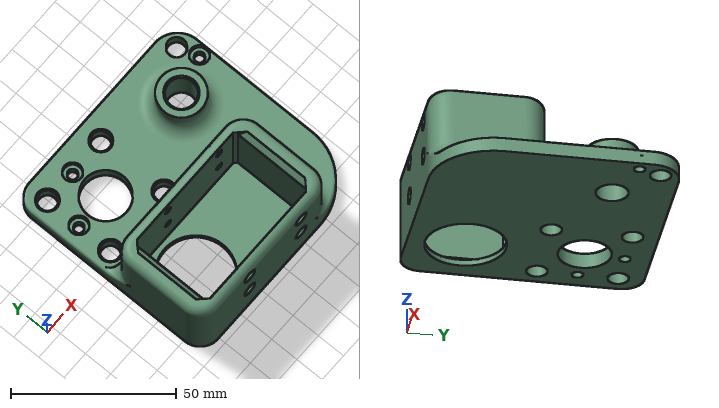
import cadquery as cq
plate_side = 75.0
plate_thickness = 5.0
small_corner_radius = 7.0
back_right_radius = 9.0
front_right_radius = 20.0
plate_edge_radius = 1.0

housing_length = 60.0
housing_width = 36.0
housing_height = 30.0
rim_fillet = 3.0
root_fillet = 5.0

side_wall = 3.5
rim_end_wall = 4.5
end_ledge = 2.0
cavity_corner_cut = 3.0
floor_thickness = 2.0
floor_hole_diameter = 25.0
floor_hole_center = (18.0, 18.0)

mount_center = (18.75, 54.5)
pilot_diameter = 16.4
mount_half_pitch = 12.5
mount_diameter = 6.5
mount_chamfer = 0.5
mount_clearance_diameter = 11.0

screw_diameter = 3.5
screw_head_diameter = 6.3
screw_head_depth = 2.0
back_screw_offset = 0.75
screw_spots = [
    (mount_center[0] - mount_half_pitch, mount_center[1]),
    (mount_center[0] - back_screw_offset, mount_center[1] + mount_half_pitch),
    (71.5, 62.0),
]

corner_hole_diameter = 6.5
corner_hole_inset = 6.1

boss_center = (56.25, 56.25)
boss_diameter = 16.0
boss_top = 14.25
bore_diameter = 10.0
bore_chamfer = 0.5

cross_diameter = 2.7
cross_head_diameter = 5.0
cross_head_depth = 1.5
cross_xs = (22.0, 46.0)
cross_zs = (13.0, 25.0)

tolerance = 0.01


def block(x0, y0, x1, y1, z0, z1):
    return cq.Workplane("XY").box(x1 - x0, y1 - y0, z1 - z0, centered=False).translate((x0, y0, z0))


def cylinder(center, diameter, z0, z1):
    return cq.Workplane("XY", origin=(center[0], center[1], z0)).circle(diameter / 2).extrude(z1 - z0)


def plate_outline(height):
    outline = block(0, 0, plate_side, plate_side, 0, height)
    outline = outline.edges("|Z and <X").fillet(small_corner_radius)
    outline = outline.edges("|Z").edges(">X and >Y").fillet(back_right_radius)
    return outline.edges("|Z").edges(">X and <Y").fillet(front_right_radius)


def flared_body():
    margin = 2 * root_fillet
    far_side = plate_side + margin
    slab = block(-margin, -margin, far_side, far_side, 0, plate_thickness)
    housing = block(0, 0, housing_length, housing_width, 0, housing_height)
    housing = housing.edges("|Z").fillet(small_corner_radius)
    boss = cylinder(boss_center, boss_diameter, 0, boss_top)
    joined = slab.union(housing).union(boss)
    roots = cq.selectors.BoxSelector(
        (-tolerance, -tolerance, plate_thickness - tolerance),
        (plate_side - tolerance, plate_side - tolerance, plate_thickness + tolerance),
        boundingbox=True,
    )
    joined = joined.edges(roots).fillet(root_fillet)
    joined = joined.faces(">Z").edges().fillet(rim_fillet)
    return joined.intersect(plate_outline(housing_height))


def round_plate_edge(solid):
    """Round the upper edge of the plate, following it up the trimmed ends of the root fillet."""
    side_faces = plate_outline(housing_height).faces("#Z").vals()
    lowest = plate_thickness - tolerance
    highest = plate_thickness + root_fillet - tolerance
    outer_edges = []
    for edge in solid.edges().vals():
        middle = edge.positionAt(0.5)
        point = cq.Vertex.makeVertex(*middle.toTuple())
        on_outline = min(face.distance(point) for face in side_faces) < tolerance
        if on_outline and lowest < middle.z < highest:
            outer_edges.append(edge)
    return solid.newObject(outer_edges).fillet(plate_edge_radius)


def octagonal_prism(x0, x1, z0, z1):
    prism = block(x0, side_wall, x1, housing_width - side_wall, z0, z1)
    return prism.edges("|Z").chamfer(cavity_corner_cut)


def cavity():
    """Octagonal pocket whose thickened end walls slope at 45 degrees up to the rim."""
    x0 = rim_end_wall
    x1 = housing_length - rim_end_wall
    prism = octagonal_prism(x0, x1, floor_thickness, housing_height)
    lengthwise = (
        cq.Workplane("XZ")
        .moveTo(x0 + end_ledge, floor_thickness)
        .lineTo(x1 - end_ledge, floor_thickness)
        .lineTo(x1 - end_ledge, housing_height - end_ledge)
        .lineTo(x1, housing_height)
        .lineTo(x0, housing_height)
        .lineTo(x0 + end_ledge, housing_height - end_ledge)
        .close()
        .extrude(-housing_width)
    )
    return prism.intersect(lengthwise)


def floor_hole():
    return cylinder(floor_hole_center, floor_hole_diameter, 0, floor_thickness)


def chamfered_hole(center, diameter, chamfer, top):
    hole = cylinder(center, diameter, 0, top)
    radius = diameter / 2
    base = cq.Vector(center[0], center[1], top - chamfer)
    return hole.union(cq.Workplane(cq.Solid.makeCone(radius, radius + chamfer, chamfer, base)))


def mounting_holes(solid):
    solid = solid.cut(cylinder(mount_center, pilot_diameter, 0, plate_thickness))
    clearance_top = plate_thickness + root_fillet
    for side_x in (-1, 1):
        for side_y in (-1, 1):
            x = mount_center[0] + side_x * mount_half_pitch
            y = mount_center[1] + side_y * mount_half_pitch
            center = (x, y)
            solid = solid.cut(chamfered_hole(center, mount_diameter, mount_chamfer, plate_thickness))
            solid = solid.cut(cylinder(center, mount_clearance_diameter, plate_thickness, clearance_top))
    return solid


def screw_holes(solid):
    for spot in screw_spots:
        solid = solid.cut(cylinder(spot, screw_diameter, 0, plate_thickness))
        head_seat = plate_thickness - screw_head_depth
        solid = solid.cut(cylinder(spot, screw_head_diameter, head_seat, plate_thickness))
    return solid


def corner_hole():
    place = plate_side - corner_hole_inset
    return cylinder((place, place), corner_hole_diameter, 0, plate_thickness)


def cross_holes(solid):
    for x in cross_xs:
        for z in cross_zs:
            front = cq.Workplane("XZ", origin=(x, 0, z))
            solid = solid.cut(front.circle(cross_diameter / 2).extrude(-housing_width))
            solid = solid.cut(front.circle(cross_head_diameter / 2).extrude(-cross_head_depth))
    return solid


part = round_plate_edge(flared_body())
part = part.cut(cavity()).cut(floor_hole())
part = mounting_holes(part)
part = screw_holes(part)
part = part.cut(corner_hole())
part = part.cut(chamfered_hole(boss_center, bore_diameter, bore_chamfer, boss_top))
result = cross_holes(part)